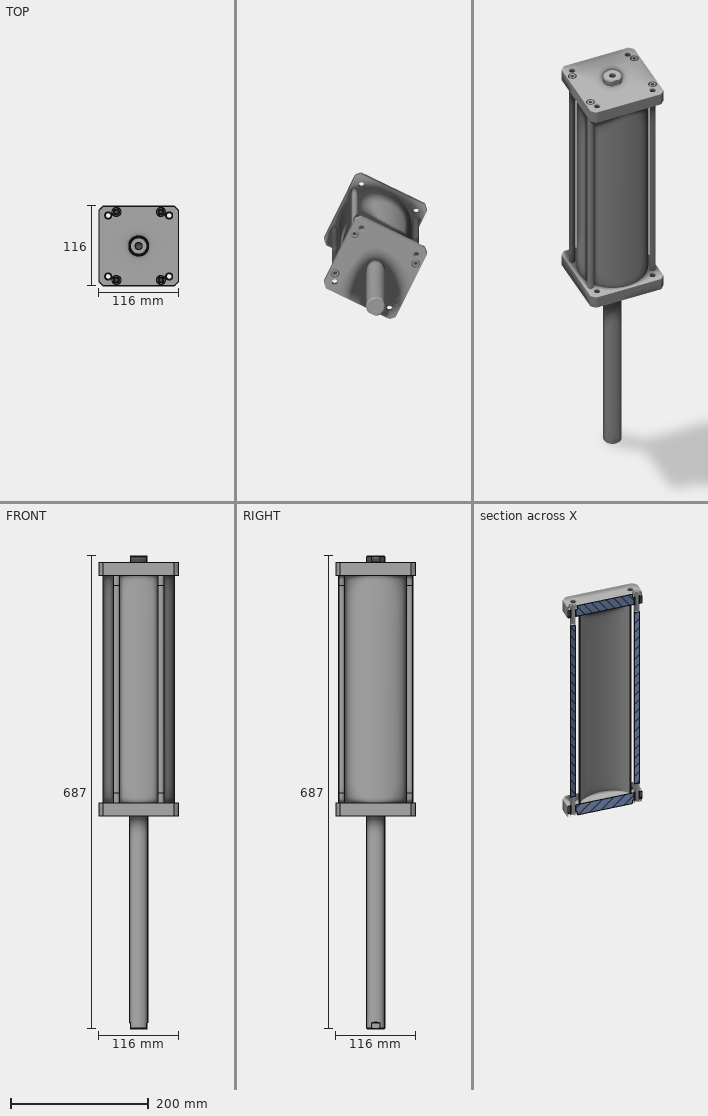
import cadquery as cq
import math

total_length = 687.0
rod_extension = 309.0
plate_thickness = 19.0
rod_stub_length = 9.0
lower_plate_bottom = rod_extension
lower_plate_top = lower_plate_bottom + plate_thickness
upper_plate_top = total_length - rod_stub_length
upper_plate_bottom = upper_plate_top - plate_thickness

plate_side = 116.0
plate_corner_diameter = 155.0
mount_hole_spacing = 88.5
mount_hole_offset = mount_hole_spacing / 2
mount_hole_diameter = 8.0
mount_hole_mouth_diameter = 10.0
mount_hole_chamfer = (mount_hole_mouth_diameter - mount_hole_diameter) / 2

tube_outer_diameter = 104.5
tube_bore_diameter = 100.0

rod_diameter = 27.0
rod_chamfer = 1.5
rod_flat_width = 24.0
rod_flat_length = 8.0
rod_hole_diameter = 10.0
rod_hole_depth = 20.5
drill_point_angle = 118.0

bushing_diameter = 29.5
lip_hole_diameter = 28.0
lip_thickness = 2.0
bushing_top = upper_plate_top - lip_thickness

tie_rod_x = 32.0
tie_rod_y = 49.5
tie_rod_diameter = 9.0
tie_rod_bore_diameter = 6.0
tie_rod_bore_beyond_plate = 14.5
tie_rod_bore_depth = plate_thickness + tie_rod_bore_beyond_plate
counterbore_diameter = 13.0
counterbore_depth = 6.0

signs = (-1, 1)
tie_rod_points = [(i * tie_rod_x, j * tie_rod_y) for i in signs for j in signs]
mount_hole_points = [(i * mount_hole_offset, j * mount_hole_offset) for i in signs for j in signs]


def cylinder(diameter, bottom, top, points=((0, 0),)):
    """Upright cylinders of one diameter between two heights, one at each point."""
    base = cq.Workplane("XY").workplane(offset=bottom)
    return base.pushPoints(points).circle(diameter / 2).extrude(top - bottom)


def mount_hole_mouth(x, y, plate_top):
    """Cone that chamfers the upper rim of a mounting hole."""
    cone = cq.Solid.makeCone(
        mount_hole_diameter / 2,
        mount_hole_mouth_diameter / 2,
        mount_hole_chamfer,
        pnt=cq.Vector(x, y, plate_top - mount_hole_chamfer),
    )
    return cq.Workplane(cone)


def make_plate(bottom):
    """End plate with its mounting holes and tie-rod holes."""
    top = bottom + plate_thickness
    plate = cq.Workplane("XY").workplane(offset=bottom).rect(plate_side, plate_side).extrude(plate_thickness)
    plate = plate.intersect(cylinder(plate_corner_diameter, bottom, top))
    plate = plate.cut(cylinder(mount_hole_diameter, bottom, top, mount_hole_points))
    for x, y in mount_hole_points:
        plate = plate.cut(mount_hole_mouth(x, y, top))
    return plate.cut(cylinder(tie_rod_diameter, bottom, top, tie_rod_points))


def make_lower_plate():
    """Plate that fits the rod, counterbored around the tie rods from below."""
    counterbore_end = lower_plate_bottom + counterbore_depth
    plate = make_plate(lower_plate_bottom)
    plate = plate.cut(cylinder(rod_diameter, lower_plate_bottom, lower_plate_top))
    return plate.cut(cylinder(counterbore_diameter, lower_plate_bottom, counterbore_end, tie_rod_points))


def make_upper_plate():
    """Plate with a bushing seat and lip, counterbored around the tie rods from above."""
    counterbore_end = upper_plate_top - counterbore_depth
    plate = make_plate(upper_plate_bottom)
    plate = plate.cut(cylinder(bushing_diameter, upper_plate_bottom, bushing_top))
    plate = plate.cut(cylinder(lip_hole_diameter, bushing_top, upper_plate_top))
    return plate.cut(cylinder(counterbore_diameter, counterbore_end, upper_plate_top, tie_rod_points))


def make_sleeve(outer_diameter, inner_diameter, bottom, top):
    return cylinder(outer_diameter, bottom, top).cut(cylinder(inner_diameter, bottom, top))


def rod_flat_cutter():
    """Prism that cuts the +X flat at the rod's lower end, running out at 45 degrees."""
    flat_x = rod_flat_width / 2
    run_out = rod_diameter / 2
    return (
        cq.Workplane("XZ")
        .moveTo(flat_x, 0)
        .lineTo(flat_x, rod_flat_length)
        .line(run_out, run_out)
        .lineTo(flat_x + run_out, 0)
        .close()
        .extrude(rod_diameter, both=True)
    )


def rod_end_hole():
    """Blind drilled hole with a conical point, in the rod's upper end."""
    radius = rod_hole_diameter / 2
    point_depth = radius / math.tan(math.radians(drill_point_angle / 2))
    hole_bottom = total_length - rod_hole_depth
    point = cq.Solid.makeCone(0, radius, point_depth, pnt=cq.Vector(0, 0, hole_bottom - point_depth))
    return cylinder(rod_hole_diameter, hole_bottom, total_length).union(cq.Workplane(point))


def make_piston_rod():
    rod = cylinder(rod_diameter, 0, total_length).faces("<Z or >Z").chamfer(rod_chamfer)
    lower_cutter = rod_flat_cutter()
    upper_cutter = lower_cutter.mirror("XY", (0, 0, total_length / 2))
    for cutter in (lower_cutter, upper_cutter):
        rod = rod.cut(cutter).cut(cutter.mirror("YZ"))
    return rod.cut(rod_end_hole())


def make_tie_rod(x, y):
    """Tie rod flush with the outer faces of both plates and bored at both ends."""
    lower_bore_end = lower_plate_bottom + tie_rod_bore_depth
    upper_bore_end = upper_plate_top - tie_rod_bore_depth
    tie_rod = cylinder(tie_rod_diameter, lower_plate_bottom, upper_plate_top, [(x, y)])
    tie_rod = tie_rod.cut(cylinder(tie_rod_bore_diameter, lower_plate_bottom, lower_bore_end, [(x, y)]))
    return tie_rod.cut(cylinder(tie_rod_bore_diameter, upper_bore_end, upper_plate_top, [(x, y)]))


lower_plate = make_lower_plate()
upper_plate = make_upper_plate()
tube = make_sleeve(tube_outer_diameter, tube_bore_diameter, lower_plate_top, upper_plate_bottom)
bushing = make_sleeve(bushing_diameter, rod_diameter, upper_plate_bottom, bushing_top)
piston_rod = make_piston_rod()
tie_rods = [make_tie_rod(x, y) for x, y in tie_rod_points]

result = cq.Compound.makeCompound(
    [
        lower_plate.val(),
        upper_plate.val(),
        tube.val(),
        bushing.val(),
        piston_rod.val(),
        *[tie_rod.val() for tie_rod in tie_rods],
    ]
)